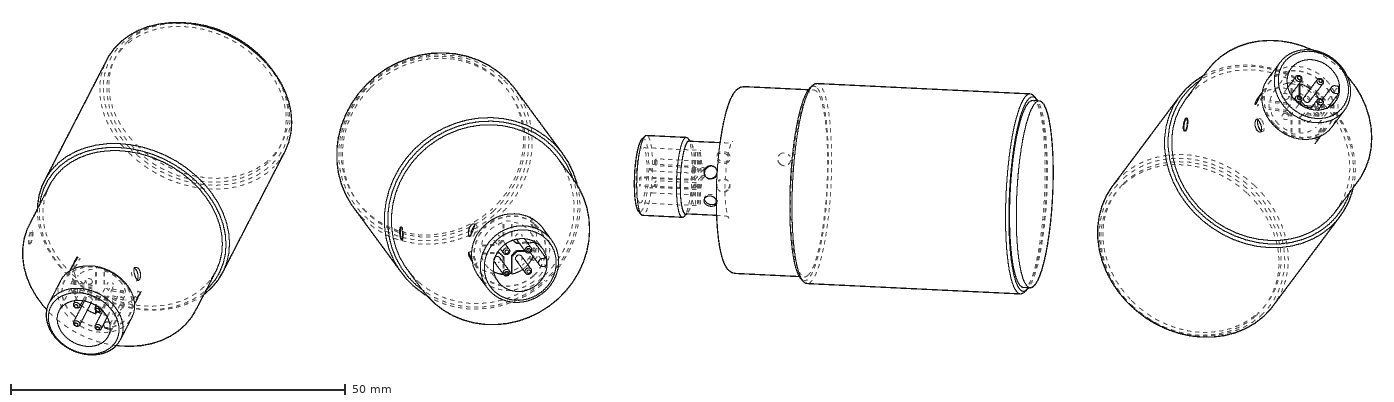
import cadquery as cq
import math


length = 60.0
tip_y = -length / 2
rear_y = length / 2
collar_y = -23.0
shoulder_y = -15.95
sleeve_front_y = -4.45
sleeve_rear_y = 29.0

sleeve_diameter = 30.0
body_diameter = 28.0
collar_diameter = 12.0
neck_diameter = 10.9

sleeve_chamfer = 0.4
collar_chamfer = 0.5
shoulder_radius = 1.0

socket_diameter = 8.3
socket_depth = 8.4
groove_width = 1.25
groove_depth = 0.5
groove_corner = 0.7
pin_diameter = 1.0
pin_offset = 1.7
pin_setback = 1.7
pin_chamfer = 0.25
key_width = groove_width
key_inner_x = 2.95
key_setback = 0.55

window_diameter = 2.0
neck_window_y = -18.5
neck_window_angle = 24.5
neck_window_depth = 0.5
body_window_y = -11.05
body_window_depth = 0.1

floor_y = tip_y + socket_depth


def disc(diameter, start_y, end_y):
    """Cylinder on the Y axis between two stations."""
    return cq.Workplane("XZ", origin=(0, start_y, 0)).circle(diameter / 2).extrude(start_y - end_y)


def housing():
    """Body, chamfered sleeve, neck and collar, all coaxial."""
    sleeve = disc(sleeve_diameter, sleeve_front_y, sleeve_rear_y).edges().chamfer(sleeve_chamfer)
    body = disc(body_diameter, shoulder_y, rear_y).edges("<Y").fillet(shoulder_radius)
    collar = disc(collar_diameter, tip_y, collar_y).edges().chamfer(collar_chamfer)
    neck = disc(neck_diameter, collar_y, shoulder_y)
    return body.union(sleeve).union(neck).union(collar)


def neck_root():
    """Ring with a concave round between the neck and the front face of the body."""
    radius = neck_diameter / 2
    arc_inset = shoulder_radius * (1 - math.sqrt(0.5))
    return (
        cq.Workplane("XY")
        .moveTo(0, shoulder_y)
        .lineTo(radius + shoulder_radius, shoulder_y)
        .threePointArc(
            (radius + arc_inset, shoulder_y - arc_inset),
            (radius, shoulder_y - shoulder_radius),
        )
        .lineTo(0, shoulder_y - shoulder_radius)
        .close()
        .revolve(360, (0, 0, 0), (0, 1, 0))
    )


def floor_grooves():
    """Cross-shaped groove in the socket floor with bevelled inner corners."""
    arm = cq.Workplane("XY").box(socket_diameter, groove_depth, groove_width)
    cross = arm.union(arm.rotate((0, 0, 0), (0, 1, 0), 90))
    corner_to_flat = (groove_width + groove_corner) / math.sqrt(2)
    hub = cq.Workplane("XY").box(2 * corner_to_flat, groove_depth, 2 * corner_to_flat)
    cross = cross.union(hub.rotate((0, 0, 0), (0, 1, 0), 45))
    cross = cross.translate((0, floor_y + groove_depth / 2, 0))
    return cross.intersect(disc(socket_diameter, floor_y, floor_y + groove_depth))


def pins():
    """Four contact pins with bevelled tips, rooted in the socket floor."""
    pin = disc(pin_diameter, tip_y + pin_setback, floor_y + groove_depth)
    pin = pin.edges("<Y").chamfer(pin_chamfer)
    group = cq.Workplane("XY")
    for x in (-pin_offset, pin_offset):
        for z in (-pin_offset, pin_offset):
            group = group.union(pin.translate((x, 0, z)))
    return group


def key():
    """Coding key with a half-round nose along the +X wall of the socket."""
    half_width = key_width / 2
    flank_x = key_inner_x + half_width
    root_x = (socket_diameter + neck_diameter) / 4
    return (
        cq.Workplane("XZ", origin=(0, tip_y + key_setback, 0))
        .moveTo(root_x, -half_width)
        .lineTo(flank_x, -half_width)
        .threePointArc((key_inner_x, 0), (flank_x, half_width))
        .lineTo(root_x, half_width)
        .close()
        .extrude(key_setback - socket_depth - groove_depth)
    )


def window(surface_diameter, y, depth, angle):
    """Cutter for a radial window; angle turns from +X about the Y axis."""
    floor_x = surface_diameter / 2 - depth
    cutter = cq.Workplane("YZ", origin=(floor_x, y, 0)).circle(window_diameter / 2).extrude(2 * depth)
    return cutter.rotate((0, 0, 0), (0, 1, 0), angle)


result = housing().union(neck_root())
result = result.cut(disc(socket_diameter, tip_y, floor_y)).cut(floor_grooves())
result = result.union(pins()).union(key())

for side_angle in (0, 180):
    for turn in (-neck_window_angle, neck_window_angle):
        result = result.cut(window(neck_diameter, neck_window_y, neck_window_depth, side_angle + turn))
result = result.cut(window(body_diameter, body_window_y, body_window_depth, 180))